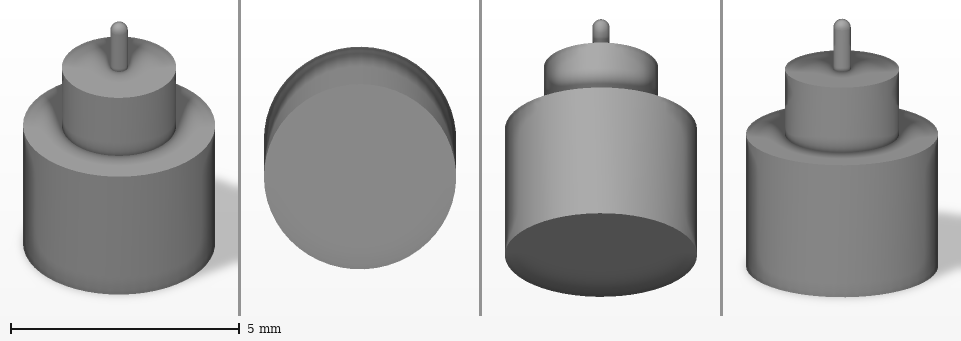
import cadquery as cq

BODY_DIAMETER = 4.2
BODY_HEIGHT = 3.05
SLEEVE_DIAMETER = 2.5
SLEEVE_HEIGHT = 1.5
INSULATOR_DIAMETER = 1.95
PIN_DIAMETER = 0.38
TOTAL_HEIGHT = 5.7

SLEEVE_TOP = BODY_HEIGHT + SLEEVE_HEIGHT
PIN_RADIUS = PIN_DIAMETER / 2
PIN_SHOULDER = TOTAL_HEIGHT - PIN_RADIUS


def cylinder(diameter, bottom, top):
    """Upright cylinder on the Z axis between two heights."""
    return cq.Workplane("XY").workplane(offset=bottom).circle(diameter / 2).extrude(top - bottom)


def make_shell():
    """Body and sleeve, bored from the body's top level up to take the insulator."""
    body = cylinder(BODY_DIAMETER, 0, BODY_HEIGHT)
    sleeve = cylinder(SLEEVE_DIAMETER, BODY_HEIGHT, SLEEVE_TOP)
    bore = cylinder(INSULATOR_DIAMETER, BODY_HEIGHT, SLEEVE_TOP)
    return body.union(sleeve).cut(bore)


def make_pin():
    """Round pin standing on the insulator, ending in a hemispherical tip."""
    return (
        cq.Workplane("XZ")
        .moveTo(0, SLEEVE_TOP)
        .lineTo(PIN_RADIUS, SLEEVE_TOP)
        .lineTo(PIN_RADIUS, PIN_SHOULDER)
        .radiusArc((0, TOTAL_HEIGHT), -PIN_RADIUS)
        .close()
        .revolve(360, (0, 0, 0), (0, 1, 0))
    )


insulator = cylinder(INSULATOR_DIAMETER, BODY_HEIGHT, SLEEVE_TOP)
result = make_shell().union(insulator, clean=False).union(make_pin(), clean=False)